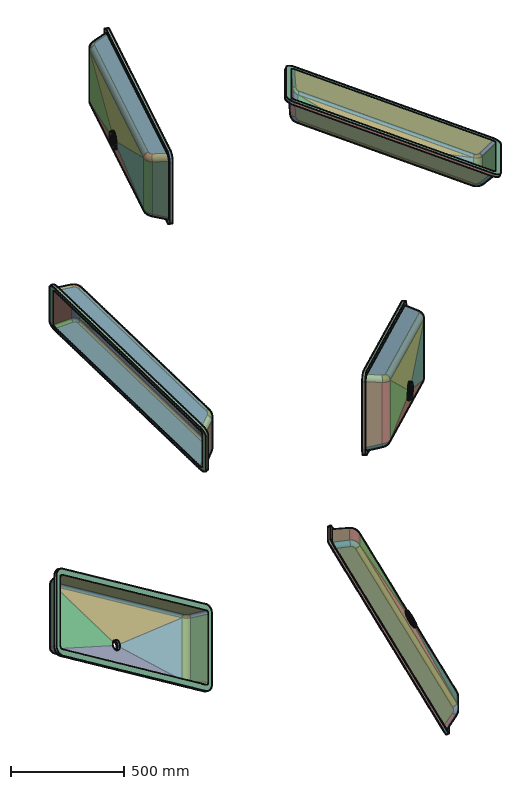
import cadquery as cq
import math

RIM_LENGTH = 1020.0
RIM_HEIGHT = 395.0
RIM_THICKNESS = 14.0
RIM_CORNER_RADIUS = 40.0

RIM_OVERHANG = 18.0
BASIN_LENGTH = RIM_LENGTH - 2 * RIM_OVERHANG
BASIN_HEIGHT = RIM_HEIGHT - 2 * RIM_OVERHANG
END_WALL_ANGLE = 25.0
SIDE_WALL_ANGLE = 9.0
FLOOR_DEPTH = 109.0
APEX_DEPTH = 120.0
END_RADIUS = 49.0
SIDE_RADIUS = 27.0
WALL = 12.0

DRAIN_Z = -53.0
BORE_RADIUS = 23.0
SEAT_RADIUS = 43.0
SEAT_DEPTH = 122.0
RING_RADIUS = 40.0
TOTAL_DEPTH = 130.0


def plane_at(depth):
    """Plane parallel to the rim, facing -Y; its local Y axis points along -Z."""
    return cq.Plane(origin=(0, -depth, 0), xDir=(1, 0, 0), normal=(0, -1, 0))


def disc(radius, start_depth, end_depth):
    """Round disc on the drain axis."""
    plane = plane_at(start_depth)
    center = plane.toLocalCoords(cq.Vector(0, -start_depth, DRAIN_Z))
    return (
        cq.Workplane(plane)
        .center(center.x, center.y)
        .circle(radius)
        .extrude(end_depth - start_depth)
    )


def floor_pyramid(length, height, base_depth, apex_depth):
    """Four shallow floor panels that fall from a rectangle to a point on the drain axis."""
    corners = [
        cq.Vector(sx * length / 2, -base_depth, sz * height / 2)
        for sx, sz in ((-1, -1), (1, -1), (1, 1), (-1, 1))
    ]
    apex = cq.Vector(0, -apex_depth, DRAIN_Z)
    faces = [cq.Face.makeFromWires(cq.Wire.makePolygon(corners, close=True))]
    for i, corner in enumerate(corners):
        following = corners[(i + 1) % len(corners)]
        panel = cq.Wire.makePolygon([corner, following, apex], close=True)
        faces.append(cq.Face.makeFromWires(panel))
    return cq.Workplane(cq.Solid.makeSolid(cq.Shell.makeShell(faces)))


def tub(inset):
    """Solid tub shape from the rim plane to the floor, moved inward by the wall thickness `inset`."""
    end_slope = math.radians(END_WALL_ANGLE)
    side_slope = math.radians(SIDE_WALL_ANGLE)
    floor_depth = FLOOR_DEPTH - inset
    end_radius = END_RADIUS - inset
    side_radius = SIDE_RADIUS - inset

    def half_size(outer_size, slope, depth):
        run = (depth - RIM_THICKNESS) * math.tan(slope)
        return outer_size / 2 - run - inset / math.cos(slope)

    def tapered_prism(plane, outer_size, slope, width):
        top = half_size(outer_size, slope, 0)
        bottom = half_size(outer_size, slope, floor_depth)
        outline = [(-top, 0), (top, 0), (bottom, -floor_depth), (-bottom, -floor_depth)]
        return cq.Workplane(plane).polyline(outline).close().extrude(width, both=True)

    side_plane = cq.Plane(origin=(0, 0, 0), xDir=(0, 0, -1), normal=(1, 0, 0))
    body = tapered_prism("XY", BASIN_LENGTH, end_slope, RIM_HEIGHT)
    body = body.intersect(tapered_prism(side_plane, BASIN_HEIGHT, side_slope, RIM_LENGTH))

    body = body.faces("<Y").edges("|Z").fillet(end_radius)
    rim_edges = body.faces(">Y").edges().vals()
    long_walls = body.faces("<Z or >Z")
    edges = [e for e in long_walls.edges().vals() if not any(e.isSame(r) for r in rim_edges)]
    body = body.newObject(edges).fillet(side_radius)

    end_tangent = end_radius * math.tan((math.pi / 2 - end_slope) / 2)
    side_tangent = side_radius * math.tan((math.pi / 2 - side_slope) / 2)
    floor_length = 2 * (half_size(BASIN_LENGTH, end_slope, floor_depth) - end_tangent)
    floor_height = 2 * (half_size(BASIN_HEIGHT, side_slope, floor_depth) - side_tangent)
    pyramid = floor_pyramid(floor_length, floor_height, floor_depth, APEX_DEPTH - inset)
    return body.union(pyramid)


def make_basin():
    rim = (
        cq.Workplane(plane_at(0))
        .rect(RIM_LENGTH, RIM_HEIGHT)
        .extrude(RIM_THICKNESS)
        .edges("|Y")
        .fillet(RIM_CORNER_RADIUS)
    )
    seat = disc(SEAT_RADIUS, FLOOR_DEPTH, SEAT_DEPTH)
    bore = disc(BORE_RADIUS, 0, TOTAL_DEPTH)
    return rim.union(tub(0)).union(seat).cut(tub(WALL)).cut(bore)


def make_drain_ring():
    """Ring that sits against the seat around the drain hole."""
    return disc(RING_RADIUS, SEAT_DEPTH, TOTAL_DEPTH).cut(disc(BORE_RADIUS, SEAT_DEPTH, TOTAL_DEPTH))


basin = make_basin()
drain_ring = make_drain_ring()

result = cq.Compound.makeCompound([basin.val(), drain_ring.val()])